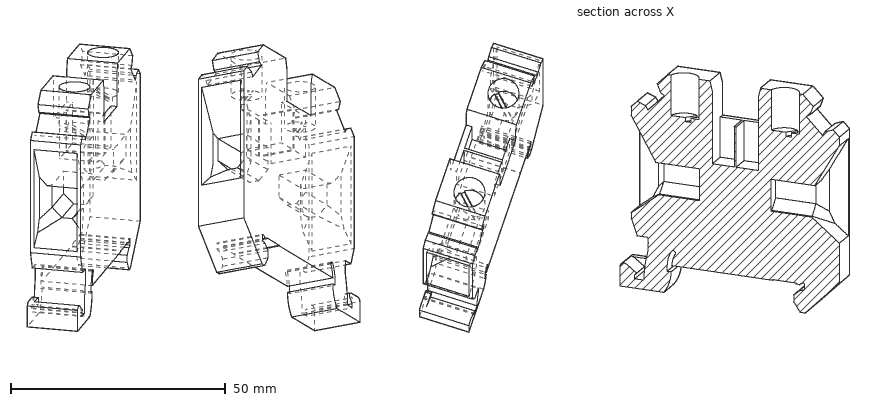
import cadquery as cq
import math

WIDTH = 12.15
HEIGHT = 54.35
HALF_LENGTH = 26.35
LENGTH = 55.5
HOOK_END_Y = HALF_LENGTH - LENGTH
BASE_Z = 6.95

SLOT_HALF = 5.75
SLOT_FLOOR_Z = 43.85
SLOT_FLARE = 0.6
SLOT_FLARE_HEIGHT = 2.45

HEAD_HALF = 17.1
HEAD_CHAMFER = 2.65
GROOVE_INNER = (18.0, 48.95)
GROOVE_LENGTH = 4.05
LIP_NEAR = (0.95, 0.6)
LIP_TIP = (1.75, 2.7)

POCKET_SIDE_WALL = 1.45
POCKET_DEPTH = 10.0
RIB_HALF = 0.28

SCREW_X = 6.9
SCREW_Y = 12.7
SCREW_DIAMETER = 7.2
SCREW_RECESS = 10.0
DRIVE_WIDTH = 0.95
DRIVE_DEPTH = 1.0
DRIVE_ANGLE = -45

MOUTH_X = (0.84, 11.27)
MOUTH_Z = (18.7, 42.87)
HOLE_X = (3.3, 10.4)
HOLE_Z = (24.2, 32.0)
HOLE_CORNER_Z = 26.5
HOLE_FLAT_X = (5.7, 8.2)
HOLE_END = 17.3
LEFT_CORNER_Z = 21.3
RIGHT_CORNER_Z = 22.07
CEILING_DEPTH = 6.25
FLOOR_DEPTH = 7.05
LEFT_START = 4.8
LEFT_DEPTH = 7.13
RIGHT_START = 5.5
RIGHT_DEPTH = 6.3

FOOT_SLOPE_TOP_Z = 8.7
FOOT_TOE_Y = 16.4
FOOT_TIP_Y = 14.75
FOOT_TIP_Z = (2.4, 4.15)
CLAW_TOP = (16.3, 5.5)
RAIL_GROOVE_Y = 17.4
RAIL_GROOVE_Z = (5.8, 7.35)
GROOVE_ROOF_END_Y = 16.9
RAIL_BUMP = (16.2, 6.8)
RAIL_RELIEF_Y = (9.45, 15.3)
RAIL_RELIEF_DEPTH = 0.17

SLIT_INNER_FOOT_Y = -16.1
SLIT_INNER_MID = (-15.8, 8.7)
SLIT_INNER_TOP = (-15.15, 10.15)
SLIT_ROOF_MID = (-15.45, 10.65)
SLIT_OUTER_TOP = (-16.05, 10.6)
SLIT_OUTER_MID = (-16.85, 8.8)
SLIT_OUTER_END = (-17.15, 6.8)
CATCH = (-16.15, 5.5)
CATCH_MID = (-16.65, 2.6)
CATCH_BOTTOM_Y = -18.1
LEG_BOTTOM_Y = -23.15
LEG_LOWER_MID = (-22.91, 5.95)
LEG_BEND = (-22.2, 9.45)
LEG_UPPER_MID = (-22.05, 11.3)
LEG_TOP = (-22.15, 13.1)
OVERHANG_Y = -24.8
OVERHANG_TOP_Z = 17.4

HOOK_TOP_Z = 5.94
HOOK_FLOOR_Z = 2.45
HOOK_INNER = (-25.35, 3.4)
ROUND_RADIUS = 1.18
ROUND_CENTER_Y = -28.05
ROUND_CENTER_Z = HOOK_TOP_Z - ROUND_RADIUS
NOSE_START_Y = -27.4
NOSE_ROOT = (-24.9, 3.89)
LUG_WIDTH = 1.4
LUG_TOP_END_Y = -24.75
LUG_NOSE_MID = (-24.15, 5.3)
LUG_NOSE_END = (-24.35, 4.5)

TRIM_SIZE = 60.0


def shoulder_points():
    """+Y half of the top outline, from the slot floor out to the body face."""
    inner_y, inner_z = GROOVE_INNER
    outer_y = inner_y + GROOVE_LENGTH
    outer_z = inner_z - GROOVE_LENGTH
    lip_tip_y = outer_y + LIP_TIP[1]
    lip_tip_z = outer_z + LIP_TIP[0]
    return [
        (SLOT_HALF, SLOT_FLOOR_Z),
        (SLOT_HALF, HEIGHT - SLOT_FLARE_HEIGHT),
        (SLOT_HALF + SLOT_FLARE, HEIGHT),
        (HEAD_HALF, HEIGHT),
        (inner_y + LIP_TIP[0], HEIGHT - HEAD_CHAMFER),
        (inner_y + LIP_NEAR[0], inner_z + LIP_NEAR[1]),
        (inner_y, inner_z),
        (outer_y, outer_z),
        (outer_y + LIP_NEAR[1], outer_z + LIP_NEAR[0]),
        (lip_tip_y, lip_tip_z),
        (HALF_LENGTH, lip_tip_z - (HALF_LENGTH - lip_tip_y)),
    ]


def round_point(y):
    """Point on the hook's rounded edge at a given y."""
    rise = math.sqrt(ROUND_RADIUS ** 2 - (y - ROUND_CENTER_Y) ** 2)
    return (y, ROUND_CENTER_Z + rise)


def fixed_foot_points():
    """Outline from the +Y face around the fixed foot and along the underside."""
    tip_bottom, tip_top = FOOT_TIP_Z
    groove_bottom, groove_top = RAIL_GROOVE_Z
    relief_end, relief_start = RAIL_RELIEF_Y
    relief_z = BASE_Z + RAIL_RELIEF_DEPTH
    return [
        (HALF_LENGTH, FOOT_SLOPE_TOP_Z),
        (HALF_LENGTH - FOOT_SLOPE_TOP_Z, 0),
        (FOOT_TOE_Y, 0),
        (FOOT_TIP_Y, tip_bottom),
        (FOOT_TIP_Y, tip_top),
        CLAW_TOP,
        (RAIL_GROOVE_Y, groove_bottom),
        (RAIL_GROOVE_Y, groove_top),
        (GROOVE_ROOF_END_Y, groove_top),
        RAIL_BUMP,
        (relief_start, BASE_Z),
        (relief_start, relief_z),
        (relief_end, relief_z),
        (relief_end, BASE_Z),
        (SLIT_INNER_FOOT_Y, BASE_Z),
    ]


def body():
    """Full YZ outline extruded across the width."""
    plus_shoulder = shoulder_points()
    minus_shoulder = [(-y, z) for y, z in reversed(plus_shoulder)]
    return (
        cq.Workplane("YZ")
        .polyline(minus_shoulder + plus_shoulder + fixed_foot_points())
        .threePointArc(SLIT_INNER_MID, SLIT_INNER_TOP)
        .threePointArc(SLIT_ROOF_MID, SLIT_OUTER_TOP)
        .threePointArc(SLIT_OUTER_MID, SLIT_OUTER_END)
        .lineTo(SLIT_OUTER_END[0], CATCH[1])
        .lineTo(*CATCH)
        .threePointArc(CATCH_MID, (CATCH_BOTTOM_Y, 0))
        .lineTo(HOOK_END_Y, 0)
        .lineTo(*round_point(HOOK_END_Y))
        .threePointArc(round_point(ROUND_CENTER_Y), round_point(NOSE_START_Y))
        .lineTo(*NOSE_ROOT)
        .lineTo(*HOOK_INNER)
        .lineTo(HOOK_INNER[0], HOOK_FLOOR_Z)
        .lineTo(LEG_BOTTOM_Y, HOOK_FLOOR_Z)
        .threePointArc(LEG_LOWER_MID, LEG_BEND)
        .threePointArc(LEG_UPPER_MID, LEG_TOP)
        .lineTo(OVERHANG_Y, LEG_TOP[1])
        .lineTo(-HALF_LENGTH, OVERHANG_TOP_Z)
        .close()
        .extrude(WIDTH)
    )


def hook_lug():
    """Full-height lug with a rounded nose at the -X end of the hook."""
    return (
        cq.Workplane("YZ")
        .moveTo(ROUND_CENTER_Y, HOOK_TOP_Z)
        .lineTo(LUG_TOP_END_Y, HOOK_TOP_Z)
        .threePointArc(LUG_NOSE_MID, LUG_NOSE_END)
        .lineTo(*NOSE_ROOT)
        .lineTo(ROUND_CENTER_Y, NOSE_ROOT[1])
        .close()
        .extrude(LUG_WIDTH)
    )


def slot_pocket(side):
    """Hollow in the slot floor on one side of the middle rib."""
    length = SLOT_HALF - RIB_HALF
    middle_y = side * (SLOT_HALF + RIB_HALF) / 2
    return (
        cq.Workplane("XY", origin=(WIDTH / 2, middle_y, SLOT_FLOOR_Z))
        .rect(WIDTH - 2 * POCKET_SIDE_WALL, length)
        .extrude(-POCKET_DEPTH)
    )


def screw_recess(y):
    """Round recess down to the screw head, with the driver slot in the head."""
    head_z = HEIGHT - SCREW_RECESS
    radius = SCREW_DIAMETER / 2
    head_plane = cq.Workplane("XY", origin=(SCREW_X, y, head_z))
    recess = head_plane.circle(radius).extrude(SCREW_RECESS)
    head = head_plane.circle(radius).extrude(-DRIVE_DEPTH)
    drive = (
        head_plane.transformed(rotate=(0, 0, DRIVE_ANGLE))
        .rect(SCREW_DIAMETER, DRIVE_WIDTH)
        .extrude(-DRIVE_DEPTH)
    )
    return recess.union(head.intersect(drive))


def trim(solid, points, inside):
    """Cut away everything on the far side of the plane through three points."""
    origin, second, third = (cq.Vector(*point) for point in points)
    normal = (second - origin).cross(third - origin)
    if normal.dot(cq.Vector(*inside) - origin) > 0:
        normal = normal * -1
    plane = cq.Plane(origin=origin, xDir=second - origin, normal=normal)
    return solid.cut(cq.Workplane(plane).rect(TRIM_SIZE, TRIM_SIZE).extrude(TRIM_SIZE))


def wire_entry():
    """Funnel and blind hole entering from the -Y face."""
    left, right = MOUTH_X
    bottom, top = MOUTH_Z
    hole_left, hole_right = HOLE_X
    hole_bottom, hole_top = HOLE_Z
    flat_left, flat_right = HOLE_FLAT_X
    face = -HALF_LENGTH
    floor_y = face + FLOOR_DEPTH
    left_y = face + LEFT_DEPTH
    right_y = face + RIGHT_DEPTH

    def floor_point(x, z):
        """Point of the funnel floor at a given x and height."""
        return (x, face + FLOOR_DEPTH * (z - bottom) / (hole_bottom - bottom), z)

    funnel = (
        cq.Workplane("YZ", origin=(left, 0, 0))
        .polyline([
            (face, bottom),
            (floor_y, hole_bottom),
            (left_y, hole_bottom),
            (left_y, hole_top),
            (face + CEILING_DEPTH, hole_top),
            (face, top),
        ])
        .close()
        .extrude(right - left)
    )
    left_corner = (hole_left, left_y, HOLE_CORNER_Z)
    right_corner = (hole_right, right_y, HOLE_CORNER_Z)
    walls = [
        [(left, face + LEFT_START, bottom), (left, face + LEFT_START, top), left_corner],
        [(right, face + RIGHT_START, bottom), (right, face + RIGHT_START, top), right_corner],
        [left_corner, (flat_left, floor_y, hole_bottom), floor_point(left, LEFT_CORNER_Z)],
        [right_corner, (flat_right, floor_y, hole_bottom), floor_point(right, RIGHT_CORNER_Z)],
    ]
    inside = ((left + right) / 2, face, (hole_bottom + hole_top) / 2)
    for wall in walls:
        funnel = trim(funnel, wall, inside)

    hole = (
        cq.Workplane("XZ", origin=(0, face + CEILING_DEPTH, 0))
        .polyline([
            (hole_left, hole_top),
            (hole_right, hole_top),
            (hole_right, HOLE_CORNER_Z),
            (flat_right, hole_bottom),
            (flat_left, hole_bottom),
            (hole_left, HOLE_CORNER_Z),
        ])
        .close()
        .extrude(CEILING_DEPTH - HOLE_END)
    )
    return funnel.union(hole)


result = body().union(hook_lug())
entry = wire_entry()
result = result.cut(entry).cut(entry.mirror("XZ"))
for side in (-1, 1):
    result = result.cut(slot_pocket(side)).cut(screw_recess(side * SCREW_Y))